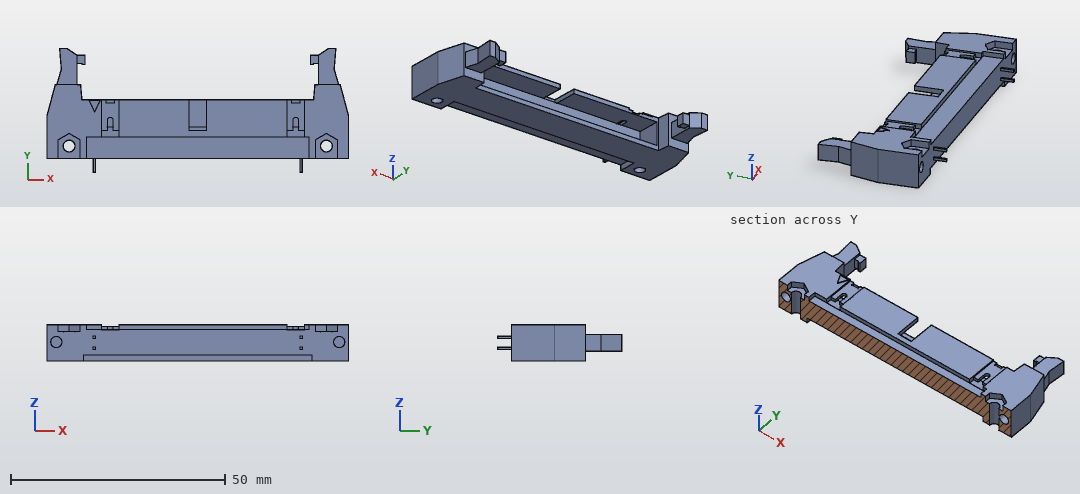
import cadquery as cq
import math


body_length = 70.4
body_height = 8.5
shell_depth = 13.8
tower_depth = 17.3
tower_straight_depth = 10.0
tower_tip_outer_x = 33.25
tower_tip_inner_x = 27.3
tower_root_inner_x = 27.0
half_length = body_length / 2
mid_z = body_height / 2

wall = 1.2
cavity_length = 53.2
cavity_floor_y = 7.4
cavity_height = body_height - 2 * wall
ledge_y = 6.55

step_depth = 5.05
top_step_length = 52.0
top_step_height = 1.15
bottom_step_length = 53.2
bottom_step_height = 1.45

key_width = 4.05
opening_depth = wall
groove_centers = (-20.4, 22.85)
groove_width = 4.05
groove_depth = 0.4
slot_width = 1.35
slot_tip_y = 9.65
edge_notch_width = 1.95
edge_notch_length = 0.85
edge_notch_depth = 0.8

mark_edge_gap = 0.2
mark_center_x = -24.05
mark_base_y = shell_depth - mark_edge_gap
mark_width = 2.6
mark_length = 2.7
mark_depth = 0.2

mount_x = 30.0
mount_y = 2.95
mount_diameter = 2.7
nut_width = 5.1
nut_pocket_depth = 1.65
end_hole_x = 33.0
end_hole_z = 4.45
end_hole_diameter = 2.6
end_hole_depth = 6.0

pin_pitch = 2.54
pins_per_row = 20
pin_width = 0.6
pin_length = 3.2
pin_embed = 1.0

latch_tip_y = 25.75
latch_height = 4.0
latch_inner_x = 28.15
latch_root_outer_x = 32.9
latch_waist_x = 31.85
latch_waist_y = 20.85
latch_tip_outer_x = 32.25
latch_tip_inner_x = 30.5
latch_embed = 1.0
hook_height = 2.8
hook_tip_x = 26.25
hook_top_y = 24.15
hook_bottom_y = 22.2
barb_length = 0.7
barb_drop = 0.25


def block(x_range, y_range, z_range):
    """Box between two limits on each axis."""
    (x0, x1), (y0, y1), (z0, z1) = x_range, y_range, z_range
    return cq.Workplane("XY").box(x1 - x0, y1 - y0, z1 - z0, centered=False).translate((x0, y0, z0))


def centered_block(center_x, width, y_range, z_range):
    """Box of a given width about center_x."""
    return block((center_x - width / 2, center_x + width / 2), y_range, z_range)


def prism(points, z_range):
    """Closed XY outline extruded between two heights."""
    z0, z1 = z_range
    return cq.Workplane("XY").workplane(offset=z0).polyline(points).close().extrude(z1 - z0)


def mirrored_pair(shape):
    """A shape together with its mirror image about X = 0."""
    return shape.union(shape.mirror("YZ"))


def make_body():
    right_side = [
        (half_length, 0),
        (half_length, tower_straight_depth),
        (tower_tip_outer_x, tower_depth),
        (tower_tip_inner_x, tower_depth),
        (tower_root_inner_x, shell_depth),
    ]
    left_side = [(-x, y) for x, y in reversed(right_side)]
    return prism(right_side + left_side, (0, body_height))


def make_cavity():
    return centered_block(0, cavity_length, (cavity_floor_y, shell_depth), (wall, wall + cavity_height))


def make_steps():
    y_range = (0, step_depth)
    top = centered_block(0, top_step_length, y_range, (body_height - top_step_height, body_height))
    bottom = centered_block(0, bottom_step_length, y_range, (0, bottom_step_height))
    return top.union(bottom)


def make_key_opening():
    return centered_block(0, key_width, (ledge_y, shell_depth), (body_height - opening_depth, body_height))


def make_groove(center_x):
    """Shallow groove with a deeper root, a round-ended slot and a notch at the mating edge."""
    opening_z = (body_height - opening_depth, body_height)
    groove = centered_block(
        center_x, groove_width, (step_depth, shell_depth), (body_height - groove_depth, body_height)
    )
    root = centered_block(center_x, groove_width, (step_depth, ledge_y), opening_z)
    slot_round_y = slot_tip_y - slot_width / 2
    slot = centered_block(center_x, slot_width, (step_depth, slot_round_y), opening_z)
    slot_end = (
        cq.Workplane("XY", origin=(center_x, slot_round_y, body_height - opening_depth))
        .circle(slot_width / 2)
        .extrude(opening_depth)
    )
    notch = centered_block(
        center_x,
        edge_notch_width,
        (shell_depth - edge_notch_length, shell_depth),
        (body_height - edge_notch_depth, body_height),
    )
    return groove.union(root).union(slot).union(slot_end).union(notch)


def make_pin_1_mark():
    outline = [
        (mark_center_x - mark_width / 2, mark_base_y),
        (mark_center_x + mark_width / 2, mark_base_y),
        (mark_center_x, mark_base_y - mark_length),
    ]
    return prism(outline, (body_height - mark_depth, body_height))


def make_mount():
    """Vertical hole under a hexagonal nut pocket that opens to the mounting face."""
    pocket_z = (body_height - nut_pocket_depth, body_height)
    corner_radius = nut_width / math.sqrt(3)
    shoulder_y = mount_y + corner_radius / 2
    pocket = prism(
        [
            (mount_x - nut_width / 2, 0),
            (mount_x + nut_width / 2, 0),
            (mount_x + nut_width / 2, shoulder_y),
            (mount_x, mount_y + corner_radius),
            (mount_x - nut_width / 2, shoulder_y),
        ],
        pocket_z,
    )
    hole = cq.Workplane("XY", origin=(mount_x, mount_y, 0)).circle(mount_diameter / 2).extrude(body_height)
    return mirrored_pair(pocket.union(hole))


def make_end_holes():
    hole = (
        cq.Workplane("XZ", origin=(end_hole_x, 0, end_hole_z))
        .circle(end_hole_diameter / 2)
        .extrude(-end_hole_depth)
    )
    return mirrored_pair(hole)


def make_pins():
    """Upper and lower pin at each end of the contact rows."""
    pin_x = (pins_per_row - 1) * pin_pitch / 2
    pins = cq.Workplane("XY")
    for row_z in (mid_z - pin_pitch / 2, mid_z + pin_pitch / 2):
        z_range = (row_z - pin_width / 2, row_z + pin_width / 2)
        for x in (-pin_x, pin_x):
            pins = pins.union(centered_block(x, pin_width, (-pin_length, pin_embed), z_range))
    return pins


def make_latches():
    latch_z = (mid_z - latch_height / 2, mid_z + latch_height / 2)
    hook_z = (mid_z - hook_height / 2, mid_z + hook_height / 2)
    root_y = tower_depth - latch_embed
    arm = prism(
        [
            (latch_inner_x, root_y),
            (latch_inner_x, hook_top_y),
            (latch_tip_inner_x, latch_tip_y),
            (latch_tip_outer_x, latch_tip_y),
            (latch_waist_x, latch_waist_y),
            (latch_root_outer_x, tower_depth),
            (latch_root_outer_x, root_y),
        ],
        latch_z,
    )
    hook = prism(
        [
            (latch_inner_x, hook_top_y),
            (hook_tip_x, hook_top_y),
            (hook_tip_x, hook_bottom_y - barb_drop),
            (hook_tip_x + barb_length, hook_bottom_y - barb_drop),
            (hook_tip_x + barb_length, hook_bottom_y),
            (latch_inner_x, hook_bottom_y),
        ],
        hook_z,
    )
    return mirrored_pair(arm.union(hook))


result = make_body().cut(make_cavity()).cut(make_steps()).cut(make_key_opening())
for groove_x in groove_centers:
    result = result.cut(make_groove(groove_x))
result = result.cut(make_pin_1_mark()).cut(make_mount()).cut(make_end_holes())
result = result.union(make_pins()).union(make_latches())